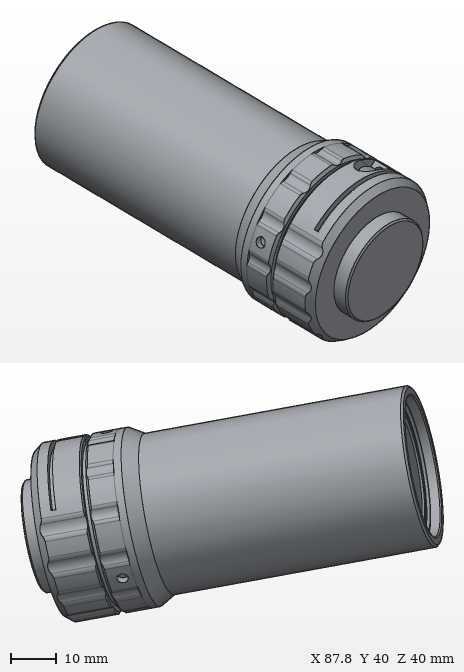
import cadquery as cq
import math

length = 87.82
cone_start = 59.75
cone_end = 63.2
knurl_start = 65.0
knurl_end = 71.4
clamp_start = 72.35
clamp_bevel_start = 82.2
clamp_end = 84.0

tube_radius = 18.0
ring_radius = 20.0
core_radius = 18.3
clamp_end_radius = 18.6
stub_radius = 12.6

front_bevel = 0.5
knurl_bevel = (0.6, 0.75)
clamp_bevel = (0.3, 0.5)
stub_bevel = 0.4

mouth_radius = 15.75
mouth_depth = 2.4
mouth_bevel = 0.3
retainer_outer_radius = 15.25
retainer_inner_radius = 14.75
retainer_depth = 3.0
seat_radius = 14.2
seat_depth = 3.15
lens_rim_radius = 13.4
lens_radius = 12.9
lens_depth = 3.6

knurl_flute_count = 12
knurl_flute_angle = 9.0
knurl_flute_depth = 0.6
knurl_flute_radius = 2.5
knurl_flute_blend = 1.5
clamp_flute_spacing = 25.0
clamp_flute_count = 8
clamp_flute_angle = 37.5
clamp_flute_depth = 0.65
clamp_flute_radius = 3.2
clamp_flute_blend = 2.2

ring_hole_count = 3
ring_hole_angle = 24.0
ring_hole_radius = 1.25
ring_hole_x = 67.5

slot_start_x = 78.7
slot_end_x = 79.8
slot_middle_angle = 130.0
slot_half_angle = 81.0
slit_angle = 143.0
slit_width = 1.6
screw_x = 75.5
screw_distance = 17.5
screw_radius = 1.25
head_radius = 2.43
head_seat_offset = 4.48

margin = 1.0


def polar(radius, angle):
    """(Y, Z) point at an angle in degrees from -Y, turning toward +Z."""
    turn = math.radians(angle)
    return (-radius * math.cos(turn), radius * math.sin(turn))


def revolve_about_x(points):
    """Solid of revolution of an outline of (x, radius) points."""
    return cq.Workplane("XZ").polyline(points).close().revolve(360, (0, 0, 0), (1, 0, 0))


def extrude_along_x(outline, start, end):
    """Extrude a (Y, Z) outline, given as a function of a workplane, from start to end."""
    plane = cq.Workplane("YZ", origin=(start, 0, 0))
    return outline(plane).extrude(end - start)


def at_angle(solid, angle):
    """Turn a solid built around the -Y direction to an angle about the axis."""
    return solid.rotate((0, 0, 0), (1, 0, 0), -angle)


def fluted_bar(angles, depth, flute_radius, blend_radius, start, end):
    """Bar of the ring radius with flutes at the given ascending angles."""
    flute_centre = ring_radius - depth + flute_radius
    blend_centre = ring_radius - blend_radius
    reach = flute_radius + blend_radius
    cosine = (flute_centre**2 + blend_centre**2 - reach**2) / (2 * flute_centre * blend_centre)
    half_angle = math.degrees(math.acos(cosine))
    slope = math.degrees(math.asin(flute_centre * math.sin(math.radians(half_angle)) / reach))

    def blend_point(angle, side, inclination):
        centre = polar(blend_centre, angle + side * half_angle)
        offset = polar(blend_radius, angle + side * (half_angle - inclination))
        return (centre[0] + offset[0], centre[1] + offset[1])

    def outline(plane):
        wire = plane.moveTo(*polar(ring_radius, angles[0] - half_angle))
        next_angles = angles[1:] + [angles[0] + 360]
        for angle, next_angle in zip(angles, next_angles):
            wire = wire.threePointArc(blend_point(angle, -1, slope / 2), blend_point(angle, -1, slope))
            wire = wire.threePointArc(polar(ring_radius - depth, angle), blend_point(angle, 1, slope))
            wire = wire.threePointArc(
                blend_point(angle, 1, slope / 2), polar(ring_radius, angle + half_angle)
            )
            land_middle = polar(ring_radius, (angle + next_angle) / 2)
            wire = wire.threePointArc(land_middle, polar(ring_radius, next_angle - half_angle))
        return wire.close()

    return extrude_along_x(outline, start, end)


def core():
    """Tube, cone and rear stub, at the core radius inside the two rings."""
    return revolve_about_x([
        (0, 0),
        (0, tube_radius - front_bevel),
        (front_bevel, tube_radius),
        (cone_start, tube_radius),
        (cone_end, ring_radius),
        (knurl_start, ring_radius),
        (knurl_start, core_radius),
        (clamp_end - margin, core_radius),
        (clamp_end - margin, stub_radius),
        (length - stub_bevel, stub_radius),
        (length, stub_radius - stub_bevel),
        (length, 0),
    ])


def front_bore():
    return revolve_about_x([
        (0, 0),
        (0, mouth_radius + mouth_bevel),
        (mouth_bevel, mouth_radius),
        (mouth_depth, mouth_radius),
        (mouth_depth, retainer_outer_radius),
        (retainer_depth, retainer_inner_radius),
        (retainer_depth, seat_radius),
        (seat_depth, seat_radius),
        (seat_depth, lens_rim_radius),
        (lens_depth, lens_radius),
        (lens_depth, 0),
    ])


def ring_holes():
    hole = (
        cq.Workplane("XZ", origin=(ring_hole_x, 0, 0))
        .circle(ring_hole_radius)
        .extrude(ring_radius + margin)
    )
    holes = cq.Workplane()
    for i in range(ring_hole_count):
        holes = holes.add(at_angle(hole, ring_hole_angle + i * 360 / ring_hole_count))
    return holes.combine()


def knurled_ring():
    blank = revolve_about_x([
        (knurl_start, 0),
        (knurl_start, ring_radius + margin),
        (knurl_end - knurl_bevel[0], ring_radius + margin),
        (knurl_end - knurl_bevel[0], ring_radius),
        (knurl_end, ring_radius - knurl_bevel[1]),
        (knurl_end, 0),
    ])
    pitch = 360 / knurl_flute_count
    angles = [knurl_flute_angle + i * pitch for i in range(knurl_flute_count)]
    bar = fluted_bar(
        angles, knurl_flute_depth, knurl_flute_radius, knurl_flute_blend, knurl_start, knurl_end
    )
    return bar.intersect(blank).cut(ring_holes())


def clamp_slot():
    first = slot_middle_angle - slot_half_angle
    last = slot_middle_angle + slot_half_angle
    outside = ring_radius + margin

    def outline(plane):
        return (
            plane.moveTo(*polar(core_radius, first))
            .lineTo(*polar(outside, first))
            .threePointArc(polar(outside, slot_middle_angle), polar(outside, last))
            .lineTo(*polar(core_radius, last))
            .threePointArc(polar(core_radius, slot_middle_angle), polar(core_radius, first))
            .close()
        )

    return extrude_along_x(outline, slot_start_x, slot_end_x)


def clamp_slit():
    slit_length = slot_start_x - clamp_start
    outside = ring_radius + margin
    slit = (
        cq.Workplane("XY", origin=(clamp_start, -outside, 0))
        .box(slit_length, outside, slit_width, centered=(False, False, True))
    )
    return at_angle(slit, slit_angle)


def clamp_screw():
    """Open-topped head recess and a hole on through the slit, along a tangent."""
    seat = cq.Workplane("XY", origin=(screw_x, -screw_distance, -head_seat_offset))
    recess_length = ring_radius
    recess = seat.circle(head_radius).extrude(-recess_length)
    opening = seat.rect(2 * head_radius, ring_radius).extrude(-recess_length)
    opening = opening.translate((0, -ring_radius / 2, 0))
    hole = seat.circle(screw_radius).extrude(2 * head_seat_offset)
    return at_angle(recess.union(opening).union(hole), slit_angle)


def clamp_ring():
    blank = revolve_about_x([
        (clamp_start, 0),
        (clamp_start, ring_radius - clamp_bevel[1]),
        (clamp_start + clamp_bevel[0], ring_radius),
        (clamp_start + clamp_bevel[0], ring_radius + margin),
        (clamp_bevel_start, ring_radius + margin),
        (clamp_bevel_start, ring_radius),
        (clamp_end, clamp_end_radius),
        (clamp_end, 0),
    ])
    first = clamp_flute_angle - (clamp_flute_count - 1) * clamp_flute_spacing
    angles = [first + i * clamp_flute_spacing for i in range(clamp_flute_count)]
    bar = fluted_bar(
        angles, clamp_flute_depth, clamp_flute_radius, clamp_flute_blend, clamp_start, clamp_end
    )
    return bar.intersect(blank).cut(clamp_slot()).cut(clamp_slit()).cut(clamp_screw())


barrel = core().cut(front_bore())
barrel = barrel.union(knurled_ring(), clean=False).union(clamp_ring(), clean=False)
result = barrel.solids()